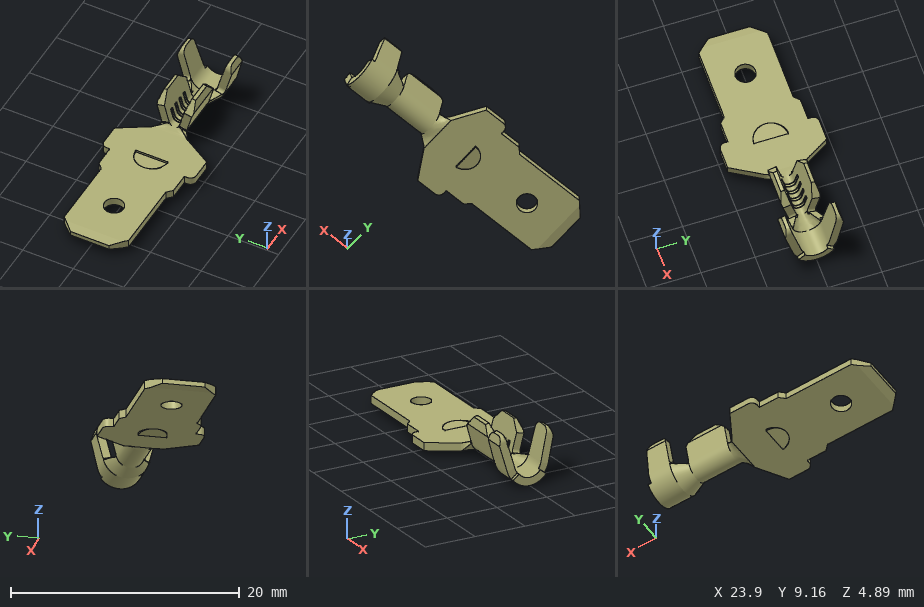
import cadquery as cq
import math


sheet = 0.79
length = 23.88

tip_half = 1.9
blade_half = 3.2
step_half = 3.7
shoulder_half = 4.58
neck_half = 1.8
tip_corner_x = 1.25
step_start_x = 8.15
step_rise = step_half - blade_half
shoulder_x = 10.65
shoulder_radius = 0.57
taper_start_x = 13.18
taper_end_x = 14.85

lead_length = 0.85
lead_depth = 0.17

hole_x = 4.51
hole_diameter = 1.85
lance_x = 11.58
lance_radius = 1.6
lance_foot_radius = 1.3
lance_drop = 0.21

wing_lean = 15.0
wrap_angle = 90.0 - wing_lean
tip_thickness = 0.35

wire_start_x = 15.71
wire_end_x = 19.82
wire_inner_radius = 0.5
wire_bottom = 0.0
wire_wing_height = 2.9
wire_corner = 1.03
wire_bevel_length = 0.76

cable_start_x = 21.3
cable_end_x = 23.55
cable_inner_radius = 1.34
cable_bottom = -0.43
cable_wing_height = 3.22
cable_tip_end_x = 23.3
cable_tip_radius = 0.65
cable_bevel_length = 0.7

tail_angle = 52.0
front_root_radius = 0.15
root_radius = 0.33

groove_count = 4
groove_first_x = 16.62
groove_pitch = 0.76
groove_width = 0.26
groove_depth = 0.07
groove_wall_height = 0.84


def mirrored(half):
    return half.union(half.mirror("XZ"))


def on_barrel(radius, centre_z, angle):
    """Point in the YZ plane at an angle measured from the bottom of a barrel."""
    turn = math.radians(angle)
    return (radius * math.sin(turn), centre_z - radius * math.cos(turn))


def barrel_section(x, inner_radius, bottom, angle):
    """Curved sheet section, reaching the given angle to both sides of the bottom."""
    outer_radius = inner_radius + sheet
    centre_z = bottom + outer_radius
    outer_y, outer_z = on_barrel(outer_radius, centre_z, angle)
    inner_y, inner_z = on_barrel(inner_radius, centre_z, angle)
    return (
        cq.Workplane("YZ", origin=(x, 0, 0))
        .moveTo(-outer_y, outer_z)
        .threePointArc((0, bottom), (outer_y, outer_z))
        .lineTo(inner_y, inner_z)
        .threePointArc((0, bottom + sheet), (-inner_y, inner_z))
        .close()
    )


def barrel(start_x, end_x, inner_radius, bottom, angle):
    return barrel_section(start_x, inner_radius, bottom, angle).extrude(end_x - start_x)


def ruled_loft(first, second):
    wires = [first.wire().val(), second.wire().val()]
    return cq.Workplane(cq.Solid.makeLoft(wires, True))


def wing_planes(inner_radius, bottom):
    """Planes at the inner wing root: the inner wing face, and the wing's cross-section."""
    lean = math.radians(wing_lean)
    root_y, root_z = on_barrel(inner_radius, bottom + inner_radius + sheet, wrap_angle)
    outward = (0, math.cos(lean), -math.sin(lean))
    inward = (0, -math.cos(lean), math.sin(lean))
    face = cq.Plane(origin=(0, root_y, root_z), xDir=(1, 0, 0), normal=inward)
    section = cq.Plane(origin=(0, root_y, root_z), xDir=outward, normal=(1, 0, 0))
    return face, section


def bevelled_strip(section_plane, height, bevel_length):
    """Endless wing strip whose outer face thins towards the tip."""
    return (
        cq.Workplane(section_plane)
        .polyline([
            (0, 0),
            (sheet, 0),
            (sheet, height - bevel_length),
            (tip_thickness, height),
            (0, height),
        ])
        .close()
        .extrude(length)
    )


def blade():
    half_outline = (
        cq.Workplane("XY")
        .polyline([
            (0, 0),
            (0, tip_half),
            (tip_corner_x, blade_half),
            (step_start_x, blade_half),
            (step_start_x + step_rise, step_half),
            (shoulder_x, step_half),
            (shoulder_x, shoulder_half - shoulder_radius),
        ])
        .radiusArc((shoulder_x + shoulder_radius, shoulder_half), shoulder_radius)
        .lineTo(taper_start_x, shoulder_half)
        .lineTo(taper_end_x, neck_half)
        .lineTo(taper_end_x, 0)
        .close()
    )
    plate = mirrored(half_outline.extrude(sheet))
    profile = (
        cq.Workplane("XZ")
        .polyline([
            (0, lead_depth),
            (lead_length, 0),
            (taper_end_x, 0),
            (taper_end_x, sheet),
            (lead_length, sheet),
            (0, sheet - lead_depth),
        ])
        .close()
        .extrude(shoulder_half, both=True)
    )
    hole = cq.Workplane("XY").center(hole_x, 0).circle(hole_diameter / 2).extrude(sheet)
    return plate.intersect(profile).cut(hole)


def lance_wedge(radius, z):
    """Half disc whose depth grows from nothing at its round side to the straight edge."""
    disc = cq.Workplane("XY").center(lance_x, 0).circle(radius).extrude(-lance_drop)
    wedge = (
        cq.Workplane("XZ")
        .polyline([(lance_x - radius, 0), (lance_x, 0), (lance_x, -lance_drop)])
        .close()
        .extrude(radius, both=True)
    )
    return wedge.intersect(disc).translate((0, 0, z))


def wire_section(x):
    return barrel_section(x, wire_inner_radius, wire_bottom, wrap_angle)


def blade_to_wire():
    """Transition that curls the flat end of the blade into the wire barrel."""
    flat_end = (
        cq.Workplane("YZ", origin=(taper_end_x, 0, 0))
        .polyline([(-neck_half, 0), (neck_half, 0), (neck_half, sheet), (-neck_half, sheet)])
        .close()
    )
    return ruled_loft(flat_end, wire_section(wire_start_x))


def wire_to_cable():
    """Flared trough between the two barrels."""
    cable_section = barrel_section(cable_start_x, cable_inner_radius, cable_bottom, wrap_angle)
    return ruled_loft(wire_section(wire_end_x), cable_section)


def wire_wings():
    face, section = wing_planes(wire_inner_radius, wire_bottom)
    outline = (
        cq.Workplane(face)
        .moveTo(wire_start_x - front_root_radius, 0)
        .lineTo(wire_end_x + root_radius, 0)
        .radiusArc((wire_end_x, root_radius), root_radius)
        .lineTo(wire_end_x, wire_wing_height - wire_corner)
        .lineTo(wire_end_x - wire_corner, wire_wing_height)
        .lineTo(wire_start_x + wire_corner, wire_wing_height)
        .lineTo(wire_start_x, wire_wing_height - wire_corner)
        .lineTo(wire_start_x, front_root_radius)
        .radiusArc((wire_start_x - front_root_radius, 0), front_root_radius)
        .close()
        .extrude(-sheet)
    )
    return mirrored(outline.intersect(bevelled_strip(section, wire_wing_height, wire_bevel_length)))


def cable_wings():
    face, section = wing_planes(cable_inner_radius, cable_bottom)
    round_start = cable_wing_height - cable_tip_radius
    outline = (
        cq.Workplane(face)
        .moveTo(cable_start_x - root_radius, 0)
        .lineTo(cable_end_x, 0)
        .lineTo(cable_tip_end_x, round_start)
        .radiusArc((cable_tip_end_x - cable_tip_radius, cable_wing_height), -cable_tip_radius)
        .lineTo(cable_start_x + cable_tip_radius, cable_wing_height)
        .radiusArc((cable_start_x, round_start), -cable_tip_radius)
        .lineTo(cable_start_x, root_radius)
        .radiusArc((cable_start_x - root_radius, 0), root_radius)
        .close()
        .extrude(-sheet)
    )
    return mirrored(outline.intersect(bevelled_strip(section, cable_wing_height, cable_bevel_length)))


def grip_groove(x):
    """Shallow groove across the trough and up the inner wing faces."""
    face, _ = wing_planes(wire_inner_radius, wire_bottom)
    start_x = x - groove_width / 2
    centre_z = wire_bottom + wire_inner_radius + sheet
    trough = (
        cq.Workplane("YZ", origin=(start_x, 0, centre_z))
        .circle(wire_inner_radius + groove_depth)
        .extrude(groove_width)
    )
    wall = (
        cq.Workplane(face)
        .center(x, groove_wall_height / 2)
        .rect(groove_width, groove_wall_height)
        .extrude(-groove_depth)
    )
    return trough.union(mirrored(wall))


result = blade()
result = result.cut(lance_wedge(lance_radius, sheet))
result = result.union(lance_wedge(lance_foot_radius, 0))
result = result.union(blade_to_wire())
result = result.union(barrel(wire_start_x, wire_end_x, wire_inner_radius, wire_bottom, wrap_angle))
result = result.union(wire_wings())
for index in range(groove_count):
    result = result.cut(grip_groove(groove_first_x + index * groove_pitch))
result = result.union(wire_to_cable())
result = result.union(barrel(cable_start_x, cable_end_x, cable_inner_radius, cable_bottom, wrap_angle))
result = result.union(barrel(cable_end_x, length, cable_inner_radius, cable_bottom, tail_angle))
result = result.union(cable_wings())